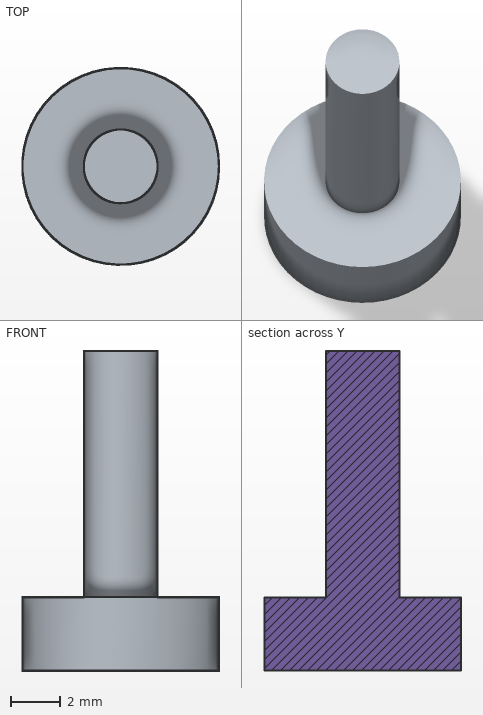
import cadquery as cq

HEAD_DIAMETER = 8.0
HEAD_HEIGHT = 3.0
SHANK_DIAMETER = 3.0
SHANK_LENGTH = 10.0


def make_head():
    """Cylindrical head standing on the XY plane."""
    return cq.Workplane("XY").circle(HEAD_DIAMETER / 2).extrude(HEAD_HEIGHT)


def add_shank(body):
    """Plain shank rising from the centre of the head's top face."""
    return body.faces(">Z").workplane().circle(SHANK_DIAMETER / 2).extrude(SHANK_LENGTH)


result = add_shank(make_head())